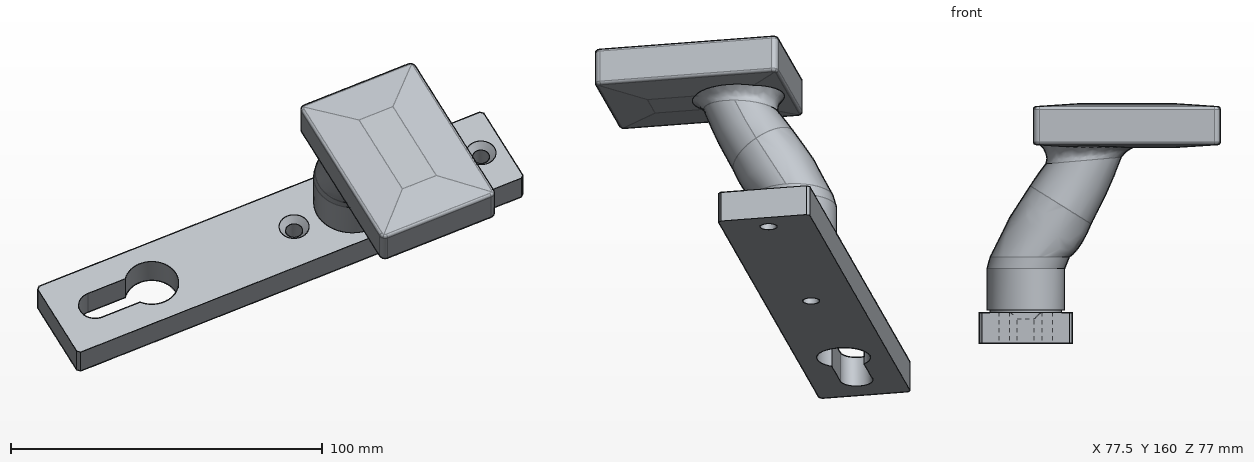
import cadquery as cq
import math


OVERALL_WIDTH = 77.5

PLATE_WIDTH = 30.0
PLATE_LENGTH = 160.0
PLATE_THICKNESS = 10.0
PLATE_CORNER = 1.0
PLATE_TOP_END = 54.0
SCREW_HOLE_DIAMETER = 5.5
COUNTERSINK_DIAMETER = 9.6
COUNTERSINK_ANGLE = 90.0
SCREW_POSITIONS = [46.0, -21.0]
KEYHOLE_DIAMETER = 17.3
KEYHOLE_Y = -72.0
KEY_SLOT_WIDTH = 10.5
KEY_SLOT_END_Y = -97.6

WASHER_DIAMETER = 23.0
WASHER_THICKNESS = 0.8

KNOB_LENGTH = 60.0
KNOB_WIDTH = 41.0
KNOB_CORNER_RADIUS = 2.0
KNOB_EDGE_RADIUS = 1.0
KNOB_FACET_INSET = 14.4
KNOB_FACET_RISE = 1.0
KNOB_SLAB_HEIGHT = 12.2
KNOB_TOP_Z = 77.0

SHAFT_DIAMETER = 25.0
SHAFT_STRAIGHT_TOP_Z = 24.0

BASE_TOP = (0.0, SHAFT_STRAIGHT_TOP_Z, 0.0, SHAFT_DIAMETER, SHAFT_DIAMETER)
BEND_TOP = (1.3, 27.7, 0.0, 25.5, 25.0)
NECK_MIDDLE = (11.2, 44.5, 32.0, 23.0, 23.8)
NECK_TOP = (18.5, 58.7, -5.0, 24.3, 20.6)
SHAFT_STRETCHES = [
    [BASE_TOP, BEND_TOP],
    [BEND_TOP, (5.5, 34.7, 18.0, 24.5, 24.6), NECK_MIDDLE],
    [NECK_MIDDLE, (15.0, 51.5, 14.0, 22.9, 22.0), NECK_TOP],
    [NECK_TOP, (19.7, 61.3, -3.0, 26.2, 21.1), (20.0, 63.0, 0.0, 29.5, 24.6), (20.0, 64.6, 0.0, 34.2, 29.1)],
]

washer_top_z = PLATE_THICKNESS + WASHER_THICKNESS
knob_slab_top_z = KNOB_TOP_Z - KNOB_FACET_RISE
knob_slab_bottom_z = knob_slab_top_z - KNOB_SLAB_HEIGHT
knob_centre_x = OVERALL_WIDTH - PLATE_WIDTH / 2 - KNOB_LENGTH / 2


def make_plate():
    """Long back plate with two countersunk screw holes and a keyhole."""
    plate = (
        cq.Workplane("XY")
        .center(0, PLATE_TOP_END - PLATE_LENGTH / 2)
        .rect(PLATE_WIDTH, PLATE_LENGTH)
        .extrude(PLATE_THICKNESS)
        .edges("|Z")
        .chamfer(PLATE_CORNER)
    )
    plate = (
        plate.faces(">Z")
        .workplane(origin=(0, 0, PLATE_THICKNESS))
        .pushPoints([(0, y) for y in SCREW_POSITIONS])
        .cskHole(SCREW_HOLE_DIAMETER, COUNTERSINK_DIAMETER, COUNTERSINK_ANGLE)
    )
    return plate.cut(make_keyhole())


def make_keyhole():
    """Round opening with a round-ended slot running down from its centre."""
    slot_radius = KEY_SLOT_WIDTH / 2
    slot_end_centre_y = KEY_SLOT_END_Y + slot_radius
    round_opening = (
        cq.Workplane("XY").center(0, KEYHOLE_Y).circle(KEYHOLE_DIAMETER / 2).extrude(PLATE_THICKNESS)
    )
    slot = (
        cq.Workplane("XY")
        .moveTo(-slot_radius, KEYHOLE_Y)
        .lineTo(-slot_radius, slot_end_centre_y)
        .threePointArc((0, KEY_SLOT_END_Y), (slot_radius, slot_end_centre_y))
        .lineTo(slot_radius, KEYHOLE_Y)
        .close()
        .extrude(PLATE_THICKNESS)
    )
    return round_opening.union(slot)


def make_washer():
    """Thin disc that the shaft stands on."""
    return (
        cq.Workplane("XY", origin=(0, 0, PLATE_THICKNESS))
        .circle(WASHER_DIAMETER / 2)
        .extrude(WASHER_THICKNESS)
    )


def make_facets(base_z, rise):
    """Four shallow facets around a flat; a negative rise points down."""
    return (
        cq.Workplane("XY", origin=(knob_centre_x, 0, base_z))
        .rect(KNOB_LENGTH, KNOB_WIDTH)
        .workplane(offset=rise)
        .rect(KNOB_LENGTH - 2 * KNOB_FACET_INSET, KNOB_WIDTH - 2 * KNOB_FACET_INSET)
        .loft(ruled=True)
    )


def make_knob():
    """Rectangular knob, faceted above and below, with rounded edges."""
    slab = (
        cq.Workplane("XY", origin=(knob_centre_x, 0, knob_slab_bottom_z))
        .rect(KNOB_LENGTH, KNOB_WIDTH)
        .extrude(KNOB_SLAB_HEIGHT)
    )
    knob = slab.union(make_facets(knob_slab_top_z, KNOB_FACET_RISE))
    knob = knob.union(make_facets(knob_slab_bottom_z, -KNOB_FACET_RISE))
    knob = knob.edges("|Z").fillet(KNOB_CORNER_RADIUS)
    side_faces = knob.faces("<X or >X or <Y or >Y")
    return side_faces.edges("not |Z").fillet(KNOB_EDGE_RADIUS)


def loft_sections(sections):
    """Smooth solid through elliptical sections."""
    wires = []
    for centre_x, centre_z, tilt, size_x, size_y in sections:
        angle = math.radians(tilt)
        plane = cq.Plane(
            origin=(centre_x, 0, centre_z),
            xDir=(math.cos(angle), 0, -math.sin(angle)),
            normal=(math.sin(angle), 0, math.cos(angle)),
        )
        wires.append(cq.Workplane(plane).ellipse(size_x / 2, size_y / 2).wires().val())
    return cq.Workplane(cq.Solid.makeLoft(wires))


def make_shaft(knob):
    """Round base, leaning neck and a flare that ends on the underside of the knob."""
    base = (
        cq.Workplane("XY", origin=(0, 0, washer_top_z))
        .circle(SHAFT_DIAMETER / 2)
        .extrude(SHAFT_STRAIGHT_TOP_Z - washer_top_z)
    )
    shaft = base
    for sections in SHAFT_STRETCHES:
        shaft = shaft.union(loft_sections(sections))
    return shaft.cut(knob)


plate = make_plate()
washer = make_washer()
knob = make_knob()
shaft = make_shaft(knob)

result = cq.Compound.makeCompound([plate.val(), washer.val(), shaft.val(), knob.val()])